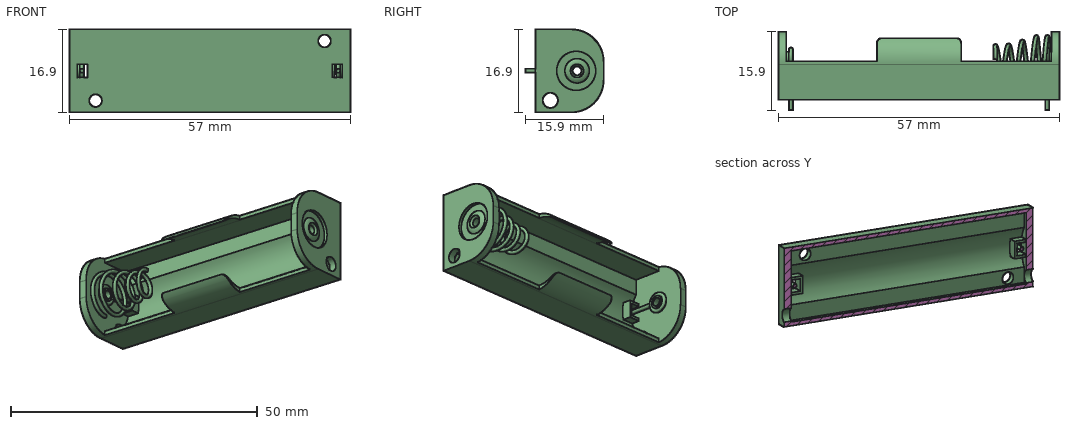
import cadquery as cq
import math

LENGTH = 57.0
HEIGHT = 16.9
DEPTH = 13.85
CORNER_RADIUS = 6.6
LEFT_END_WALL = 1.6
RIGHT_END_WALL = 1.7
RIM_Y = 7.85

CLIP_LENGTH = 17.1
CLIP_TIP_Y = 12.55
CLIP_CORNER_RADIUS = 1.0

FLOOR = 1.5
SIDE_WALL = 0.9

MOUNT_HOLE_DIAMETER = 2.5
MOUNT_HOLE_X = 23.2
MOUNT_HOLE_Z = 6.05
END_HOLE_DIAMETER = 3.0
END_HOLE_Y = 3.0
END_HOLE_Z = -6.0
RECESS_DIAMETER = 7.9
RECESS_DEPTH = 0.7
RECESS_Y = 8.25
SLOT_LENGTH = 2.05
SLOT_HEIGHT = 2.6
COLLAR_TOP_Y = 2.3
COLLAR_WALL = 0.55

RIVET_Y = 8.45
RIVET_DIAMETER = 2.7
RIVET_BORE = 1.75
RIVET_HEAD_DIAMETER = 4.95
RIVET_HEAD_HEIGHT = 0.45
RIVET_REACH = 2.95

WIRE_DIAMETER = 0.85
PIN_LENGTH = 2.05

SPRING_Y = 8.25
SPRING_WIRE_DIAMETER = 0.8
SPRING_CREST_X = [15.45, 18.1, 20.9, 23.75, 26.0]
SPRING_CREST_RADIUS = [2.7, 2.8, 3.6, 4.5, 4.5]
SPRING_STEPS_PER_TURN = 8

HALF_LENGTH = LENGTH / 2
HALF_HEIGHT = HEIGHT / 2
CORNER_Y = DEPTH - CORNER_RADIUS
CORNER_Z = HALF_HEIGHT - CORNER_RADIUS
CLIP_TIP_Z = CORNER_Z + math.sqrt(CORNER_RADIUS**2 - (CLIP_TIP_Y - CORNER_Y) ** 2)
TROUGH_RADIUS = HALF_HEIGHT - SIDE_WALL
TROUGH_Y = CLIP_TIP_Y - math.sqrt(TROUGH_RADIUS**2 - CLIP_TIP_Z**2)
TROUGH_LENGTH = LENGTH - LEFT_END_WALL - RIGHT_END_WALL
TROUGH_START = -HALF_LENGTH + LEFT_END_WALL
LOOP_RADIUS = (RIVET_DIAMETER + WIRE_DIAMETER) / 2
LOOP_X = HALF_LENGTH - RIVET_REACH + WIRE_DIAMETER / 2

END_WALLS = {-1: LEFT_END_WALL, 1: RIGHT_END_WALL}


def x_cylinder(diameter, x_start, length, y, z=0.0):
    return cq.Workplane("YZ", origin=(x_start, y, z)).circle(diameter / 2).extrude(length)


def make_body():
    """D-shaped block with its two +Y edges rounded."""
    block = cq.Workplane("XY").box(LENGTH, DEPTH, HEIGHT, centered=(True, False, True))
    return block.edges("|X and >Y").fillet(CORNER_RADIUS)


def make_trough():
    """U-shaped trough between the end walls, closed over by a half-round top."""
    bottom = cq.Workplane("XY", origin=(TROUGH_START, FLOOR, 0)).box(
        TROUGH_LENGTH, TROUGH_Y - FLOOR, 2 * TROUGH_RADIUS, centered=(False, False, True)
    )
    return bottom.union(x_cylinder(2 * TROUGH_RADIUS, TROUGH_START, TROUGH_LENGTH, TROUGH_Y))


def make_opening():
    """Space above the rim between the end walls, less the room taken by the clips."""
    opening = cq.Workplane("XY").box(TROUGH_LENGTH, DEPTH, HEIGHT, centered=(False, False, True))
    opening = opening.translate((TROUGH_START, RIM_Y, 0))
    clip_room = (
        cq.Workplane("XY")
        .rect(CLIP_LENGTH, 2 * CLIP_TIP_Y)
        .extrude(HALF_HEIGHT, both=True)
        .edges("|Z")
        .fillet(CLIP_CORNER_RADIUS)
    )
    return opening.cut(clip_room)


def floor_block(length, height, x):
    """Block from the mounting face to the collar top, centred on `x`."""
    block = cq.Workplane("XY").box(length, COLLAR_TOP_Y, height, centered=(True, False, True))
    return block.translate((x, 0, 0))


def make_housing():
    housing = make_body()
    housing = housing.cut(make_trough())
    housing = housing.cut(make_opening())

    for side, wall in END_WALLS.items():
        mount_hole = (
            cq.Workplane("XZ", origin=(side * MOUNT_HOLE_X, 0, side * MOUNT_HOLE_Z))
            .circle(MOUNT_HOLE_DIAMETER / 2)
            .extrude(-FLOOR)
        )
        housing = housing.cut(mount_hole)

        end_x = side * HALF_LENGTH
        housing = housing.cut(x_cylinder(END_HOLE_DIAMETER, end_x, -side * wall, END_HOLE_Y, END_HOLE_Z))
        housing = housing.cut(x_cylinder(RECESS_DIAMETER, end_x, -side * RECESS_DEPTH, RECESS_Y))
        housing = housing.cut(x_cylinder(RIVET_DIAMETER, end_x, -side * wall, RIVET_Y))

        slot_x = side * (HALF_LENGTH - wall - SLOT_LENGTH / 2)
        collar_x = slot_x - side * COLLAR_WALL / 2
        collar = floor_block(SLOT_LENGTH + COLLAR_WALL, SLOT_HEIGHT + 2 * COLLAR_WALL, collar_x)
        housing = housing.union(collar).cut(floor_block(SLOT_LENGTH, SLOT_HEIGHT, slot_x))
    return housing


def make_rivet(side):
    """Hollow rivet whose rounded head sits on the floor of the recess."""
    bore_radius = RIVET_BORE / 2
    barrel_radius = RIVET_DIAMETER / 2
    head_radius = RIVET_HEAD_DIAMETER / 2
    end_x = side * HALF_LENGTH
    seat_x = end_x - side * RECESS_DEPTH
    crown_x = seat_x + side * RIVET_HEAD_HEIGHT
    inner_x = end_x - side * RIVET_REACH
    head_width = head_radius - barrel_radius
    arc_radius = (head_width**2 + RIVET_HEAD_HEIGHT**2) / (2 * RIVET_HEAD_HEIGHT)
    half_sweep = math.asin(head_width / arc_radius) / 2
    arc_middle = (
        crown_x - side * arc_radius * (1 - math.cos(half_sweep)),
        barrel_radius + arc_radius * math.sin(half_sweep),
    )
    return (
        cq.Workplane("XY", origin=(0, RIVET_Y, 0))
        .moveTo(inner_x, bore_radius)
        .lineTo(seat_x, bore_radius)
        .lineTo(crown_x, barrel_radius)
        .threePointArc(arc_middle, (seat_x, head_radius))
        .lineTo(seat_x, barrel_radius)
        .lineTo(inner_x, barrel_radius)
        .close()
        .revolve(360, (0, 0, 0), (1, 0, 0))
    )


def make_terminal(side):
    """Wire loop around the rivet with a pin that leaves through the floor slot."""
    x = side * LOOP_X
    center = cq.Vector(x, RIVET_Y, 0)
    loop = cq.Solid.makeTorus(LOOP_RADIUS, WIRE_DIAMETER / 2, center, cq.Vector(1, 0, 0))
    pin = (
        cq.Workplane("XZ", origin=(x, -PIN_LENGTH, 0))
        .circle(WIRE_DIAMETER / 2)
        .extrude(-(PIN_LENGTH + RIVET_Y - LOOP_RADIUS))
    )
    return pin.union(cq.Workplane(loop))


def at_turn(crest_values, turn):
    """Value at a fraction of a turn, on straight lines between the crests."""
    last = len(crest_values) - 1
    if turn <= 0:
        return crest_values[0]
    if turn >= last:
        return crest_values[last]
    crest = math.floor(turn)
    step = crest_values[crest + 1] - crest_values[crest]
    return crest_values[crest] + step * (turn - crest)


def make_spring():
    """Tapered left-handed coil from the free end to the right end wall."""
    wall_x = HALF_LENGTH - RIGHT_END_WALL - SPRING_WIRE_DIAMETER / 2
    quarter = SPRING_STEPS_PER_TURN // 4
    last_crest_step = (len(SPRING_CREST_X) - 1) * SPRING_STEPS_PER_TURN
    points = []
    for step in range(-quarter, last_crest_step + quarter + 1):
        turn = step / SPRING_STEPS_PER_TURN
        x = at_turn(SPRING_CREST_X, turn)
        if step > last_crest_step:
            x += (wall_x - x) * (step - last_crest_step) / quarter
        radius = at_turn(SPRING_CREST_RADIUS, turn)
        angle = 2 * math.pi * turn
        points.append(cq.Vector(x, SPRING_Y + radius * math.cos(angle), -radius * math.sin(angle)))
    path = cq.Edge.makeSpline(points)
    start = cq.Plane(points[0].toTuple(), xDir=(1, 0, 0), normal=path.tangentAt(0).toTuple())
    return cq.Workplane(start).circle(SPRING_WIRE_DIAMETER / 2).sweep(cq.Workplane(path))


housing = make_housing()
rivets = [make_rivet(side) for side in END_WALLS]
terminals = [make_terminal(side) for side in END_WALLS]
spring = make_spring()

result = cq.Compound.makeCompound(
    [
        housing.val(),
        *[rivet.val() for rivet in rivets],
        *[terminal.val() for terminal in terminals],
        spring.val(),
    ]
)